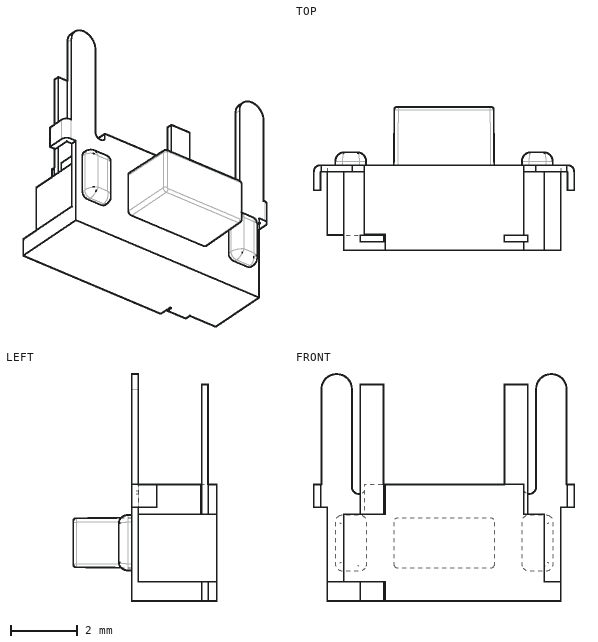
import cadquery as cq


front_to_back = 2.55
core_half_width = 3.0
foot_half_width = 3.5
foot_height = 0.585
shoulder_height = 2.605
housing_height = 3.495
upper_half_width = 2.395
notch_edge_x = -1.76
upper_notch_depth = 0.475
foot_notch_depth = 0.45

pin_width = 0.7
pin_centre_x = 2.16
pin_thickness = 0.195
pin_back_y = foot_notch_depth
pin_top = 6.49

plate_thickness = 0.2
plate_front_y = front_to_back - plate_thickness
leg_outer_x = 3.67
leg_width = 0.92
leg_top = 6.8
leg_inner_x = leg_outer_x - leg_width
relief_inner_x = 2.36
relief_floor = 3.21
tab_half_span = 3.9
tab_bottom = 2.81
tab_front_y = 1.795
tab_bend_radius = 0.195

feature_centre_z = housing_height / 2
rivet_centre_x = 2.79
rivet_width = 0.93
rivet_length = 1.67
rivet_height = 0.39
rivet_corner_radius = 0.2
rivet_edge_radius = 0.28
button_width = 3.01
button_height = 1.505
button_length = 1.75
button_corner_radius = 0.12
button_edge_radius = 0.085
button_draft = 0.5


def block(x0, x1, y0, y1, z0, z1):
    """Axis-aligned box between two opposite corners."""
    return cq.Workplane("XY").box(x1 - x0, y1 - y0, z1 - z0, centered=False).translate((x0, y0, z0))


def make_housing():
    core = block(-core_half_width, core_half_width, 0, front_to_back, 0, shoulder_height)
    foot = block(-foot_half_width, foot_half_width, 0, front_to_back, 0, foot_height)
    upper = block(-upper_half_width, upper_half_width, 0, front_to_back, shoulder_height, housing_height)
    foot_notch = block(-foot_half_width, notch_edge_x, 0, foot_notch_depth, 0, foot_height)
    upper_notch = block(
        -upper_half_width, notch_edge_x, 0, upper_notch_depth, shoulder_height, housing_height
    )
    return core.union(foot).cut(foot_notch).union(upper).cut(upper_notch)


def make_pin(side):
    centre = side * pin_centre_x
    half = pin_width / 2
    return block(centre - half, centre + half, pin_back_y - pin_thickness, pin_back_y, 0, pin_top)


def make_plate():
    plate = block(
        -foot_half_width, foot_half_width, plate_front_y, front_to_back, 0, housing_height
    )
    for side in (-1, 1):
        plate = plate.union(make_leg(side)).union(make_tab(side)).cut(make_relief(side))
    return plate


def make_leg(side):
    """Upright leg with a fully rounded tip."""
    half = leg_width / 2
    arc_z = leg_top - half
    return (
        cq.Workplane("XZ", origin=(side * (leg_outer_x - half), front_to_back, 0))
        .moveTo(-half, tab_bottom)
        .lineTo(-half, arc_z)
        .threePointArc((0, leg_top), (half, arc_z))
        .lineTo(half, tab_bottom)
        .close()
        .extrude(plate_thickness)
    )


def make_tab(side):
    """Ear that leaves the plate sideways and bends toward the front."""
    inner_x = tab_half_span - plate_thickness
    ear = block(foot_half_width, tab_half_span, plate_front_y, front_to_back, tab_bottom, housing_height)
    arm = block(inner_x, tab_half_span, tab_front_y, front_to_back, tab_bottom, housing_height)
    tab = ear.union(arm).edges("|Z and >X and >Y").fillet(tab_bend_radius)
    return tab if side > 0 else tab.mirror("YZ")


def make_relief(side):
    """Slot beside a leg, open at the top, with a fully rounded floor."""
    half = (leg_inner_x - relief_inner_x) / 2
    arc_z = relief_floor + half
    return (
        cq.Workplane("XZ", origin=(side * (leg_inner_x - half), front_to_back, 0))
        .moveTo(-half, housing_height)
        .lineTo(-half, arc_z)
        .threePointArc((0, relief_floor), (half, arc_z))
        .lineTo(half, housing_height)
        .close()
        .extrude(plate_thickness)
    )


def on_back():
    """Sketch plane on the back face, centred on the button height."""
    return cq.Workplane("XZ", origin=(0, front_to_back, feature_centre_z))


def make_rivet(side):
    return (
        on_back()
        .center(side * rivet_centre_x, 0)
        .rect(rivet_width, rivet_length)
        .extrude(-rivet_height)
        .faces(">Y")
        .edges()
        .fillet(rivet_edge_radius)
        .edges("|Y")
        .fillet(rivet_corner_radius)
    )


def make_button():
    return (
        on_back()
        .rect(button_width, button_height)
        .extrude(-button_length, taper=button_draft)
        .edges("not(<Y or >Y)")
        .fillet(button_corner_radius)
        .faces(">Y")
        .edges()
        .fillet(button_edge_radius)
    )


result = make_housing().union(make_plate()).union(make_button())
for side in (-1, 1):
    result = result.union(make_pin(side)).union(make_rivet(side))